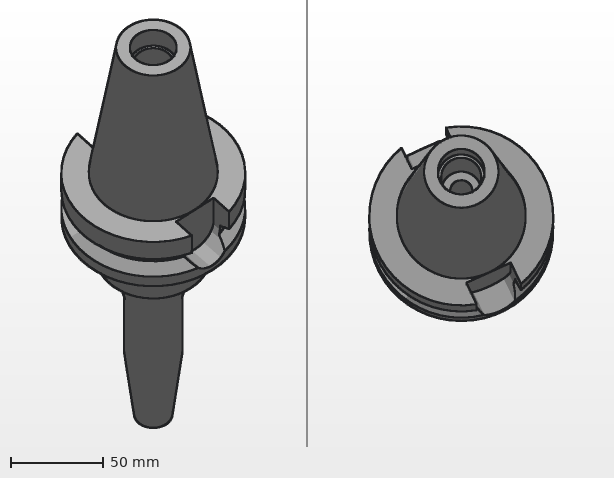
import cadquery as cq

total_length = 301.8

gauge_radius = 35.0
taper_length = 101.7
taper_ratio = 7 / 24
small_end_radius = gauge_radius - taper_length * taper_ratio / 2
gauge_height = total_length - taper_length
neck_length = 1.5

flange_diameter = 100.0
flange_radius = flange_diameter / 2
flange_top = gauge_height - neck_length
flange_width = 36.5
flange_bottom = flange_top - flange_width
groove_radius = 42.5
groove_top = 184.5
groove_floor_top = 180.2
groove_floor_bottom = 174.0
groove_bottom = 170.0

collar_cone_radius = 41.0
collar_radius = 31.5
collar_top = 153.3
collar_bottom = 130.7
shoulder_radius = 22.0
shoulder_height = 123.7
shank_radius = 16.0
shank_top = 99.5
shank_bottom = 52.5
nose_radius = 10.5

bore_radius = 6.0
thread_radius = 11.0
mouth_radius = 12.7
mouth_depth = 13.0
thread_depth = 45.3

slot_width = 26.5
slot_floor_x = 35.0
slot_bottom = 166.0


def make_body():
    """Revolve the outer outline about the Z axis."""
    outline = [
        (0, 0),
        (nose_radius, 0),
        (shank_radius, shank_bottom),
        (shank_radius, shank_top),
        (shoulder_radius, shoulder_height),
        (collar_radius, collar_bottom),
        (collar_radius, collar_top),
        (collar_cone_radius, flange_bottom),
        (flange_radius, flange_bottom),
        (flange_radius, groove_bottom),
        (groove_radius, groove_floor_bottom),
        (groove_radius, groove_floor_top),
        (flange_radius, groove_top),
        (flange_radius, flange_top),
        (gauge_radius, flange_top),
        (gauge_radius, gauge_height),
        (small_end_radius, total_length),
        (0, total_length),
    ]
    return cq.Workplane("XZ").polyline(outline).close().revolve(360, (0, 0), (0, 1))


def make_bore():
    """Through hole widened in two steps at the taper end."""
    through_hole = cq.Workplane("XY").circle(bore_radius).extrude(total_length)
    top = cq.Workplane("XY").workplane(offset=total_length)
    thread_hole = top.circle(thread_radius).extrude(-thread_depth)
    mouth = top.circle(mouth_radius).extrude(-mouth_depth)
    return through_hole.union(thread_hole).union(mouth)


def make_drive_slot(side):
    """Round-bottomed slot open to the flange top; side is +1 or -1 along X."""
    slot_radius = slot_width / 2
    arc_center = slot_bottom + slot_radius
    return (
        cq.Workplane("YZ", origin=(side * slot_floor_x, 0, 0))
        .moveTo(-slot_radius, flange_top)
        .lineTo(-slot_radius, arc_center)
        .threePointArc((0, slot_bottom), (slot_radius, arc_center))
        .lineTo(slot_radius, flange_top)
        .close()
        .extrude(side * flange_radius)
    )


result = make_body().cut(make_bore())
for side in (1, -1):
    result = result.cut(make_drive_slot(side))